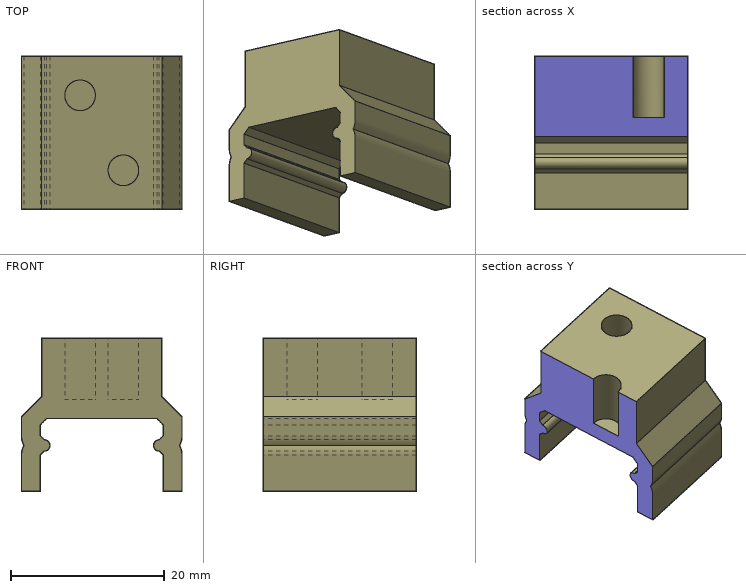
import cadquery as cq
import math

width = 21.0
length = 20.0
height = 20.0

block_width = 15.7
wall = 2.5
shoulder_base_z = 9.75
ceiling_z = 9.5
ceiling_chamfer = 0.8

snap_z = 6.0
nub_radius = 0.75
nub_flare = 0.5
groove_bend_radius = wall

hole_diameter = 4.0
hole_depth = 8.0
hole_circle_radius = 5.65
hole_start_angle = 120.0
hole_count = 2

half_width = width / 2
half_block = block_width / 2
inner_x = half_width - wall
shoulder_top_z = shoulder_base_z + half_width - half_block
nub_center_x = inner_x - nub_flare
snap_half_height = nub_radius + nub_flare


def groove_depth_at(offset):
    """Depth of the outer groove at a distance from its upper or lower edge."""
    return groove_bend_radius - math.sqrt(groove_bend_radius**2 - offset**2)


def make_half_body():
    """Extrude the +X half of the profile along Y."""
    groove_x = half_width - groove_depth_at(snap_half_height)
    groove_mid_x = half_width - groove_depth_at(snap_half_height / 2)
    snap_top_z = snap_z + snap_half_height
    snap_bottom_z = snap_z - snap_half_height
    profile = (
        cq.Workplane("XZ")
        .moveTo(0, height)
        .lineTo(half_block, height)
        .lineTo(half_block, shoulder_top_z)
        .lineTo(half_width, shoulder_base_z)
        .lineTo(half_width, snap_top_z)
        .threePointArc((groove_mid_x, snap_z + snap_half_height / 2), (groove_x, snap_z))
        .threePointArc((groove_mid_x, snap_z - snap_half_height / 2), (half_width, snap_bottom_z))
        .lineTo(half_width, 0)
        .lineTo(inner_x, 0)
        .lineTo(inner_x, snap_bottom_z)
        .lineTo(nub_center_x, snap_z - nub_radius)
        .threePointArc((nub_center_x - nub_radius, snap_z), (nub_center_x, snap_z + nub_radius))
        .lineTo(inner_x, snap_top_z)
        .lineTo(inner_x, ceiling_z - ceiling_chamfer)
        .lineTo(inner_x - ceiling_chamfer, ceiling_z)
        .lineTo(0, ceiling_z)
        .close()
    )
    return profile.extrude(length / 2, both=True)


def make_holes():
    """Cylinders that cut the two blind holes down from the top face."""
    return (
        cq.Workplane("XY", origin=(0, 0, height))
        .polarArray(hole_circle_radius, hole_start_angle, 360, hole_count)
        .circle(hole_diameter / 2)
        .extrude(-hole_depth)
    )


half_body = make_half_body()
body = half_body.union(half_body.mirror("YZ")).clean()
result = body.cut(make_holes())